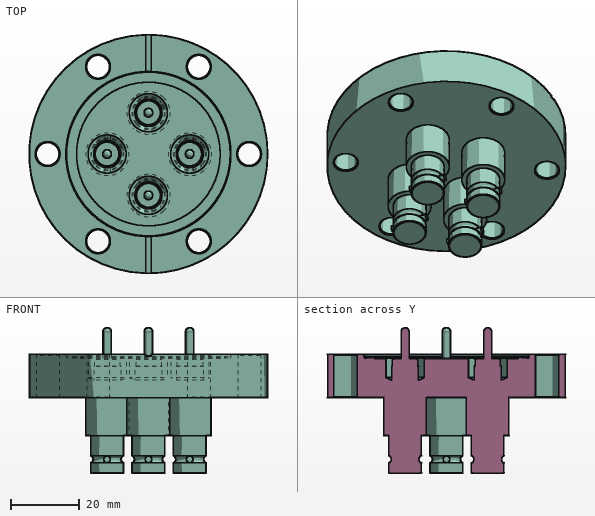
import cadquery as cq

flange_radius = 34.9
flange_thickness = 12.7

bolt_count = 6
bolt_circle_radius = 29.5
bolt_hole_radius = 3.35
bolt_hole_chamfer = 0.3

recess_radius = 24.2
recess_depth = 0.6
groove_radius = 23.95
groove_depth = 1.1
crest_radius = 21.0
crest_depth = 0.85
floor_depth = 1.25

slot_width = 1.55
slot_depth = 0.5

connector_offset = 12.1
body_radius = 6.3
body_length = 11.2
shell_radius = 4.8
shell_end = 22.2
shell_chamfer = 0.2
neck_drop = 18.1
neck_half_width = 1.05
neck_depth = 0.7
lug_radius = 1.0
lug_reach = 5.6

well_radius = 5.6
well_wall_depth = 5.6
well_floor_drop = 0.7
insulator_radius = 3.8
insulator_chamfer = 0.3
insulator_foot_radius = 4.0
insulator_foot_drop = 2.1
pin_radius = 1.25
pin_height = 7.75

floor_z = flange_thickness - floor_depth
pin_top = flange_thickness + pin_height


def make_flange():
    """Revolve the disc with its gasket recess, then cut the holes and slots."""
    groove_z = flange_thickness - groove_depth
    ledge_z = flange_thickness - recess_depth
    disc = (
        cq.Workplane("XZ")
        .moveTo(0, 0)
        .lineTo(flange_radius, 0)
        .lineTo(flange_radius, flange_thickness)
        .lineTo(recess_radius, flange_thickness)
        .lineTo(recess_radius, ledge_z)
        .lineTo(groove_radius, ledge_z)
        .lineTo(groove_radius, groove_z)
        .lineTo(crest_radius, flange_thickness - crest_depth)
        .lineTo(crest_radius, floor_z)
        .lineTo(0, floor_z)
        .close()
        .revolve(360, (0, 0, 0), (0, 1, 0))
    )

    mouth_radius = bolt_hole_radius + bolt_hole_chamfer
    drill = (
        cq.Workplane("XZ")
        .moveTo(0, 0)
        .lineTo(mouth_radius, 0)
        .lineTo(bolt_hole_radius, bolt_hole_chamfer)
        .lineTo(bolt_hole_radius, flange_thickness - bolt_hole_chamfer)
        .lineTo(mouth_radius, flange_thickness)
        .lineTo(0, flange_thickness)
        .close()
        .revolve(360, (0, 0, 0), (0, 1, 0))
    )
    for index in range(bolt_count):
        angle = index * 360 / bolt_count
        hole = drill.translate((bolt_circle_radius, 0, 0)).rotate((0, 0, 0), (0, 0, 1), angle)
        disc = disc.cut(hole)

    slot_length = flange_radius - crest_radius
    slot_middle = (flange_radius + crest_radius) / 2
    slot_mid_z = flange_thickness - slot_depth / 2
    for side in (-1, 1):
        slot = cq.Workplane("XY").box(slot_width, slot_length, slot_depth)
        disc = disc.cut(slot.translate((0, side * slot_middle, slot_mid_z)))
    return disc


def make_connector():
    """Body, necked shell and the two bayonet lugs below the flange."""
    neck_top = -neck_drop + neck_half_width
    neck_bottom = -neck_drop - neck_half_width
    outer = (
        cq.Workplane("XZ")
        .moveTo(0, 0)
        .lineTo(body_radius, 0)
        .lineTo(body_radius, -body_length)
        .lineTo(shell_radius, -body_length)
        .lineTo(shell_radius, neck_top)
        .threePointArc((shell_radius - neck_depth, -neck_drop), (shell_radius, neck_bottom))
        .lineTo(shell_radius, -shell_end + shell_chamfer)
        .lineTo(shell_radius - shell_chamfer, -shell_end)
        .lineTo(0, -shell_end)
        .close()
        .revolve(360, (0, 0, 0), (0, 1, 0))
    )
    lugs = (
        cq.Workplane("XZ")
        .center(0, -neck_drop)
        .circle(lug_radius)
        .extrude(lug_reach, both=True)
    )
    return outer.union(lugs)


def make_well():
    """Ring-shaped well around the insulator, with a floor that dips towards the insulator."""
    wall_bottom = floor_z - well_wall_depth
    foot_top = floor_z - insulator_foot_drop
    foot_flare = insulator_foot_radius - insulator_radius
    return (
        cq.Workplane("XZ")
        .moveTo(insulator_radius - insulator_chamfer, floor_z)
        .lineTo(well_radius, floor_z)
        .lineTo(well_radius, wall_bottom)
        .lineTo(insulator_foot_radius, wall_bottom - well_floor_drop)
        .lineTo(insulator_foot_radius, foot_top - foot_flare)
        .lineTo(insulator_radius, foot_top)
        .lineTo(insulator_radius, floor_z - insulator_chamfer)
        .close()
        .revolve(360, (0, 0, 0), (0, 1, 0))
    )


def make_pin():
    """Contact pin with a hemispherical tip."""
    return (
        cq.Workplane("XY", origin=(0, 0, floor_z))
        .circle(pin_radius)
        .extrude(pin_top - pin_radius - floor_z)
        .union(cq.Workplane("XY").sphere(pin_radius).translate((0, 0, pin_top - pin_radius)))
    )


result = make_flange()
connector = make_connector()
well = make_well()
pin = make_pin()
for x_side, y_side in ((1, 0), (0, 1), (-1, 0), (0, -1)):
    place = (x_side * connector_offset, y_side * connector_offset, 0)
    result = (
        result.cut(well.translate(place))
        .union(connector.translate(place))
        .union(pin.translate(place))
    )